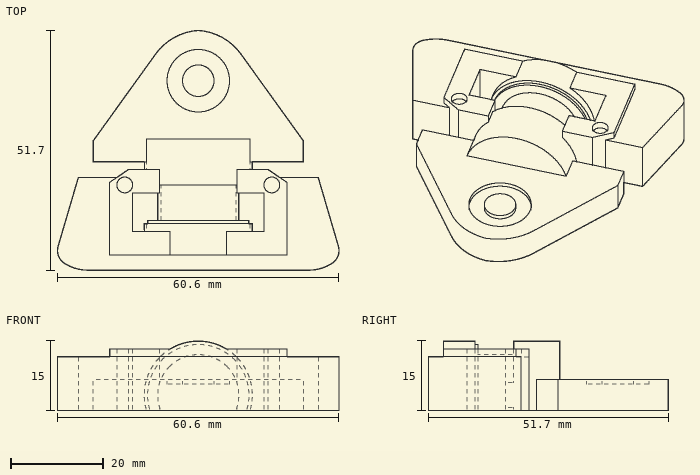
import cadquery as cq

base_height = 11.65
housing_height = 13.3
link_height = 6.75
roller_top = 15.0

base_half_width = 30.3
base_depth = 20
base_back_half_width = 25.85
front_flat_half_width = 23.85
corner_joint = (28.6, 1.35)
widest_point_y = 4.25
side_start = (30.2, 5.15)

housing_half_width = 19.1
housing_front = 3.3
housing_back = 21.7
chamfer_x = 4.05
chamfer_y = 2.8
window_half_width = 14.15
window_front = 8.4
window_back = 16.6
slot_half_width = 8.3
screw_x = 15.85
screw_y = 18.4
screw_radius = 1.7
screw_depth = housing_height - base_height

roller_radius = 11.65
collar_radius = 10.9
shaft_radius = 8.75
roller_axis_z = roller_top - roller_radius
front_roller_back = 10.05
collar_back = 10.75
rear_roller_front = 18.4
rear_roller_back = 28.3

link_front = 23.35
link_half_width = 22.6
link_shoulder_y = 27.9
link_tip_y = 51.7
pivot_y = 40.8
tip_arc_mid = (5.6, 49.9)
tip_arc_end = (9.3, 46.45)
recess_radius = 6.75
pivot_radius = 3.4
recess_depth = 1.0


def block(half_width, front, back, height):
    """Box centred on X = 0, standing on Z = 0."""
    return cq.Workplane("XY").box(
        2 * half_width, back - front, height, centered=(True, False, False)
    ).translate((0, front, 0))


def mirrored_plate(half_outline, height):
    """Extrude a half outline and join it to its mirror image about X = 0."""
    half = half_outline.close().extrude(height)
    return half.union(half.mirror("YZ")).clean()


def make_base():
    outline = (
        cq.Workplane("XY")
        .lineTo(front_flat_half_width, 0)
        .tangentArcPoint(corner_joint, relative=False)
        .threePointArc((base_half_width, widest_point_y), side_start)
        .lineTo(base_back_half_width, base_depth)
        .lineTo(0, base_depth)
    )
    return mirrored_plate(outline, base_height)


def make_housing():
    outline = (
        cq.Workplane("XY")
        .moveTo(0, housing_front)
        .lineTo(housing_half_width, housing_front)
        .lineTo(housing_half_width, housing_back - chamfer_y)
        .lineTo(housing_half_width - chamfer_x, housing_back)
        .lineTo(0, housing_back)
    )
    return mirrored_plate(outline, housing_height)


def make_roller():
    """Stepped cylinders, cut flat where they would pass below Z = 0."""
    def step(radius, front, back):
        cylinder = cq.Solid.makeCylinder(
            radius, back - front, cq.Vector(0, front, roller_axis_z), cq.Vector(0, 1, 0)
        )
        return cq.Workplane(obj=cylinder)

    roller = (
        step(roller_radius, housing_front, front_roller_back)
        .union(step(collar_radius, front_roller_back, collar_back))
        .union(step(shaft_radius, collar_back, rear_roller_front))
        .union(step(roller_radius, rear_roller_front, rear_roller_back))
    )
    return roller.intersect(block(roller_radius, housing_front, rear_roller_back, roller_top))


def make_link():
    outline = (
        cq.Workplane("XY")
        .moveTo(0, link_front)
        .lineTo(link_half_width, link_front)
        .lineTo(link_half_width, link_shoulder_y)
        .lineTo(*tip_arc_end)
        .threePointArc(tip_arc_mid, (0, link_tip_y))
    )
    recess = (
        cq.Workplane("XY", origin=(0, pivot_y, link_height))
        .circle(recess_radius)
        .circle(pivot_radius)
        .extrude(-recess_depth)
    )
    return mirrored_plate(outline, link_height).cut(recess)


window = block(window_half_width, window_front, window_back, housing_height)
arm_slot = block(slot_half_width, window_back, housing_back, housing_height)
screw_holes = (
    cq.Workplane("XY", origin=(0, 0, housing_height))
    .pushPoints([(-screw_x, screw_y), (screw_x, screw_y)])
    .circle(screw_radius)
    .extrude(-screw_depth)
)

frame = make_base().union(make_housing()).cut(window).cut(arm_slot).cut(screw_holes)
result = frame.union(make_roller()).union(make_link())